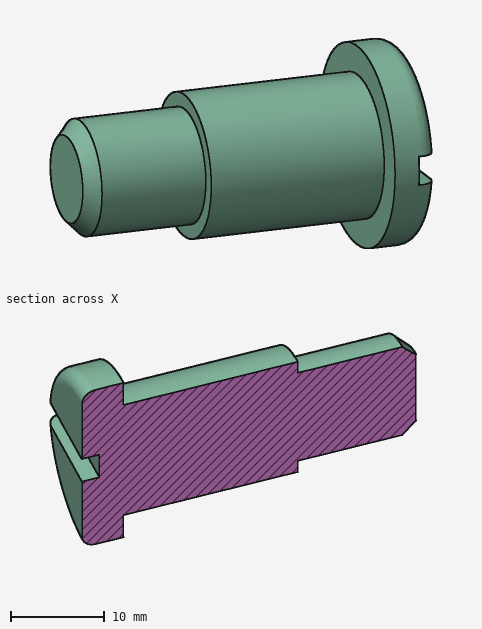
import cadquery as cq

total_length = 38.1
head_diameter = 22.225
head_thickness = 4.7625
shoulder_diameter = 15.875
shoulder_length = 19.84375
tip_diameter = 12.7
tip_chamfer = 1.5875

head_round = 1.5875

slot_width = 3.175
slot_depth = 1.984375

head_top = head_thickness
shoulder_end = -shoulder_length
tip_end = head_top - total_length


def make_body():
    """Revolve the half outline of head, shoulder and tip about the Y axis."""
    head_radius = head_diameter / 2
    shoulder_radius = shoulder_diameter / 2
    tip_radius = tip_diameter / 2
    outline = (
        cq.Workplane("XY")
        .moveTo(0, tip_end)
        .lineTo(tip_radius - tip_chamfer, tip_end)
        .lineTo(tip_radius, tip_end + tip_chamfer)
        .lineTo(tip_radius, shoulder_end)
        .lineTo(shoulder_radius, shoulder_end)
        .lineTo(shoulder_radius, 0)
        .lineTo(head_radius, 0)
        .lineTo(head_radius, head_top - head_round)
        .radiusArc((head_radius - head_round, head_top), -head_round)
        .lineTo(0, head_top)
        .close()
    )
    return outline.revolve(360, (0, 0, 0), (0, 1, 0))


def make_slot():
    """Bar that cuts the slot right across the top of the head."""
    slot_middle = head_top - slot_depth / 2
    return cq.Workplane("XY").box(head_diameter, slot_depth, slot_width).translate((0, slot_middle, 0))


result = make_body().cut(make_slot())